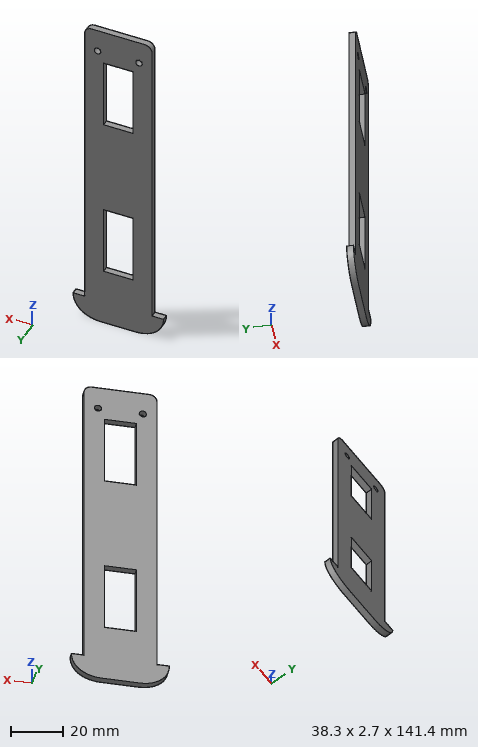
import cadquery as cq

length = 141.4
thickness = 2.7
blade_width = 28.5
blade_corner_radius = 3.1

foot_width = 38.3
foot_height = 10.2
foot_corner_width = 11.9
foot_side_pull = 6.0
foot_bottom_pull = 6.9

window_width = 12.5
window_height = 30.0
window_top_depths = (15.0, 86.4)

hole_diameter = 2.7
hole_spacing = 17.5
hole_depth_from_top = 9.9


def front_plane():
    """XZ sketch plane on the back face, extruding toward -Y."""
    return cq.Workplane("XZ", origin=(0, thickness / 2, 0))


def make_blade():
    blade_length = length - foot_height
    blade = front_plane().center(0, foot_height / 2).rect(blade_width, blade_length).extrude(thickness)
    return blade.edges("|Y and >Z").fillet(blade_corner_radius)


def make_foot():
    """Flat-topped foot whose lower corners are smooth cubic curves."""
    bottom = -length / 2
    shoulder = bottom + foot_height
    half_width = foot_width / 2

    def corner_curve(side):
        """Control points from the shoulder tip down to the flat bottom; side is -1 or 1."""
        return [
            (side * half_width, shoulder),
            (side * half_width, shoulder - foot_side_pull),
            (side * (half_width - foot_corner_width + foot_bottom_pull), bottom),
            (side * (half_width - foot_corner_width), bottom),
        ]

    right_curve = corner_curve(1)
    left_curve = corner_curve(-1)[::-1]
    return (
        front_plane()
        .moveTo(-half_width, shoulder)
        .lineTo(half_width, shoulder)
        .bezier(right_curve)
        .lineTo(*left_curve[0])
        .bezier(left_curve)
        .close()
        .extrude(thickness)
    )


def make_windows():
    centers = [(0, length / 2 - depth - window_height / 2) for depth in window_top_depths]
    return front_plane().pushPoints(centers).rect(window_width, window_height).extrude(thickness)


def make_holes():
    hole_z = length / 2 - hole_depth_from_top
    centers = [(side * hole_spacing / 2, hole_z) for side in (-1, 1)]
    return front_plane().pushPoints(centers).circle(hole_diameter / 2).extrude(thickness)


result = make_blade().union(make_foot()).cut(make_windows()).cut(make_holes())